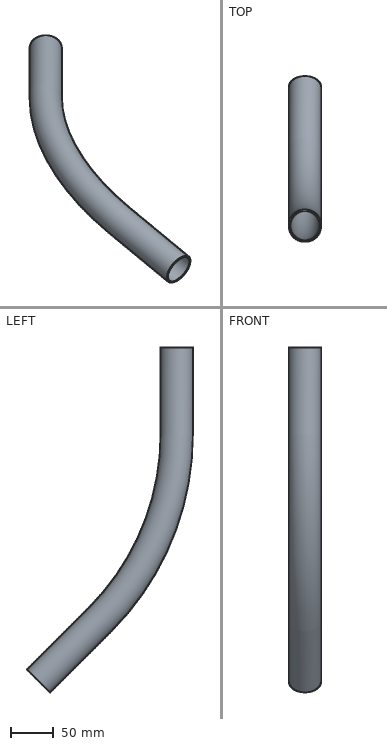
import cadquery as cq
import math

OUTER_DIAMETER = 38.1
INNER_DIAMETER = 33.88
BEND_RADIUS = 304.8
BEND_ANGLE = 45.0
LEG_LENGTH = 101.6


def bend_point(angle_deg):
    """Centreline point (Y, Z) at an angle along the bend, which starts at the origin."""
    angle = math.radians(angle_deg)
    return (BEND_RADIUS * (1 - math.cos(angle)), -BEND_RADIUS * math.sin(angle))


def centreline():
    """Path from the top end, down the vertical leg and out towards +Y."""
    bend_end_y, bend_end_z = bend_point(BEND_ANGLE)
    slope = math.radians(BEND_ANGLE)
    lower_end = (
        bend_end_y + LEG_LENGTH * math.sin(slope),
        bend_end_z - LEG_LENGTH * math.cos(slope),
    )
    return (
        cq.Workplane("YZ")
        .moveTo(0, LEG_LENGTH)
        .lineTo(0, 0)
        .threePointArc(bend_point(BEND_ANGLE / 2), (bend_end_y, bend_end_z))
        .lineTo(*lower_end)
    )


def tube():
    """Annular section swept along the centreline, leaving both ends open."""
    section = (
        cq.Workplane("XY")
        .workplane(offset=LEG_LENGTH)
        .circle(OUTER_DIAMETER / 2)
        .circle(INNER_DIAMETER / 2)
    )
    return section.sweep(centreline())


result = tube()